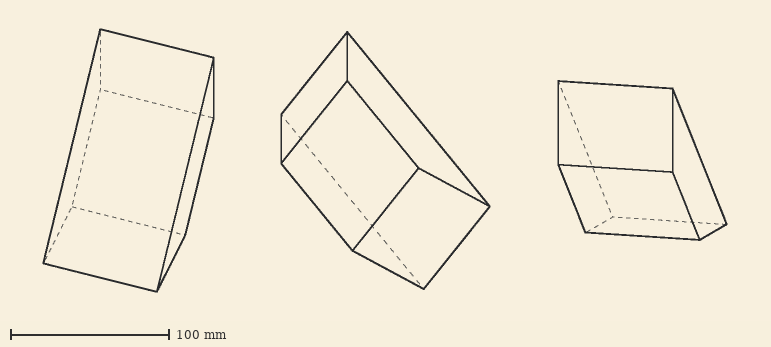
import cadquery as cq
import math

block_width = 76.2
block_thickness = 38.1
long_face_length = 152.4
slope_angle = math.radians(45)

depth = long_face_length * math.cos(slope_angle)
height = long_face_length * math.sin(slope_angle)

floor_length = block_thickness / math.sin(slope_angle)
wall_length = block_thickness / math.cos(slope_angle)


def mitred_block():
    """Extrude the trapezoidal side profile along X, centred on X = 0."""
    profile = [
        (0, 0),
        (floor_length, 0),
        (depth, height - wall_length),
        (depth, height),
    ]
    return (
        cq.Workplane("YZ")
        .polyline(profile)
        .close()
        .extrude(block_width / 2, both=True)
    )


result = mitred_block()